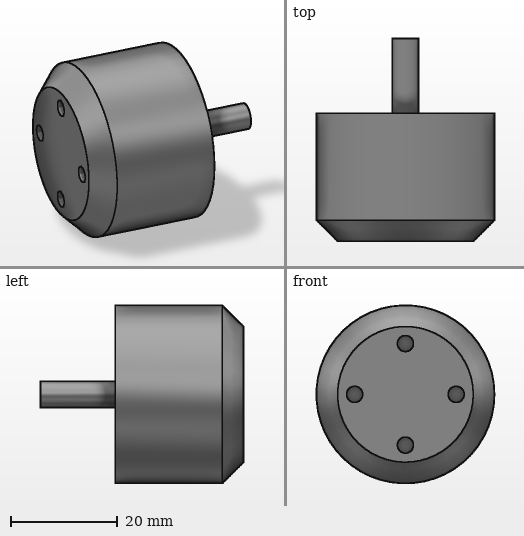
import cadquery as cq

overall_length = 38.05
shaft_length = 14.0
shaft_diameter = 5.0
body_diameter = 33.4
body_length = overall_length - shaft_length
front_chamfer = 4.0

mount_hole_count = 4
mount_hole_diameter = 3.0
mount_hole_depth = 3.0
mount_circle_radius = 9.5


def cylinder_along_y(diameter, start_y, length):
    """Solid cylinder centred on the Y axis, running toward +Y from start_y."""
    base_plane = cq.Plane(origin=(0, start_y, 0), xDir=(1, 0, 0), normal=(0, 1, 0))
    return cq.Workplane(base_plane).circle(diameter / 2).extrude(length)


def make_body():
    """Round housing with a 45 degree chamfer around its front face."""
    return cylinder_along_y(body_diameter, 0, body_length).faces("<Y").chamfer(front_chamfer)


def make_mount_holes():
    """Blind holes evenly spaced on a circle in the front face."""
    hole = cylinder_along_y(mount_hole_diameter, 0, mount_hole_depth)
    hole = hole.translate((mount_circle_radius, 0, 0))
    holes = cq.Workplane()
    for index in range(mount_hole_count):
        angle = index * 360 / mount_hole_count
        holes = holes.add(hole.rotate((0, 0, 0), (0, 1, 0), angle))
    return holes.combine()


shaft = cylinder_along_y(shaft_diameter, body_length, shaft_length)
result = make_body().union(shaft).cut(make_mount_holes())